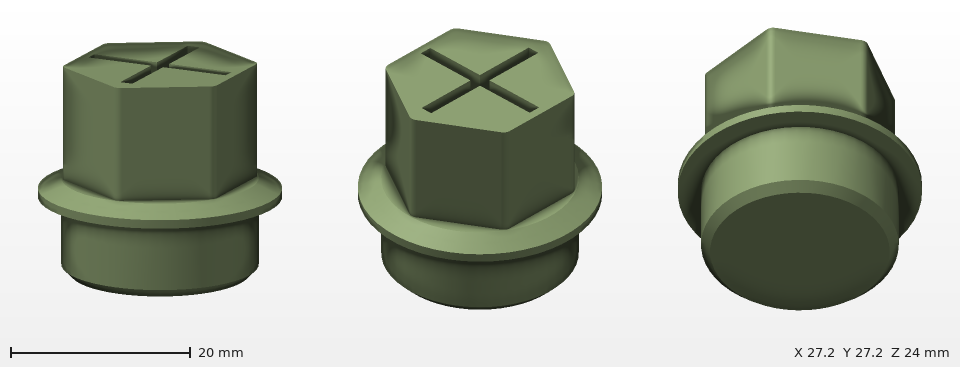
import cadquery as cq
import math

total_height = 24.0
flange_bottom = 8.8
flange_rim_top = 9.8
flange_top = 11.0

flange_diameter = 27.2
plug_diameter = 22.0
plug_chamfer = 1.0

hex_across_flats = 18.99
hex_corner_radius = 1.0

slot_length = 17.0
slot_width = 1.5
slot_depth = 3.0


def plug_and_flange():
    """Revolved plug with a chamfered lower edge and a flange with a conical top."""
    plug_radius = plug_diameter / 2
    flange_radius = flange_diameter / 2
    profile = [
        (0, 0),
        (plug_radius - plug_chamfer, 0),
        (plug_radius, plug_chamfer),
        (plug_radius, flange_bottom),
        (flange_radius, flange_bottom),
        (flange_radius, flange_rim_top),
        (plug_radius, flange_top),
        (0, flange_top),
    ]
    return cq.Workplane("XZ").polyline(profile).close().revolve(360, (0, 0), (0, 1))


def hex_head():
    """Hexagonal prism with rounded vertical edges."""
    across_corners = hex_across_flats / math.cos(math.pi / 6)
    return (
        cq.Workplane("XY")
        .workplane(offset=flange_top)
        .transformed(rotate=(0, 0, 90))
        .polygon(6, across_corners)
        .extrude(total_height - flange_top)
        .edges("|Z")
        .fillet(hex_corner_radius)
    )


def cross_recess():
    """Two crossing slots cut down from the top face."""
    floor = cq.Workplane("XY").workplane(offset=total_height - slot_depth)
    slot_along_x = floor.rect(slot_length, slot_width).extrude(slot_depth)
    slot_along_y = floor.rect(slot_width, slot_length).extrude(slot_depth)
    return slot_along_x.union(slot_along_y)


result = plug_and_flange().union(hex_head()).cut(cross_recess())